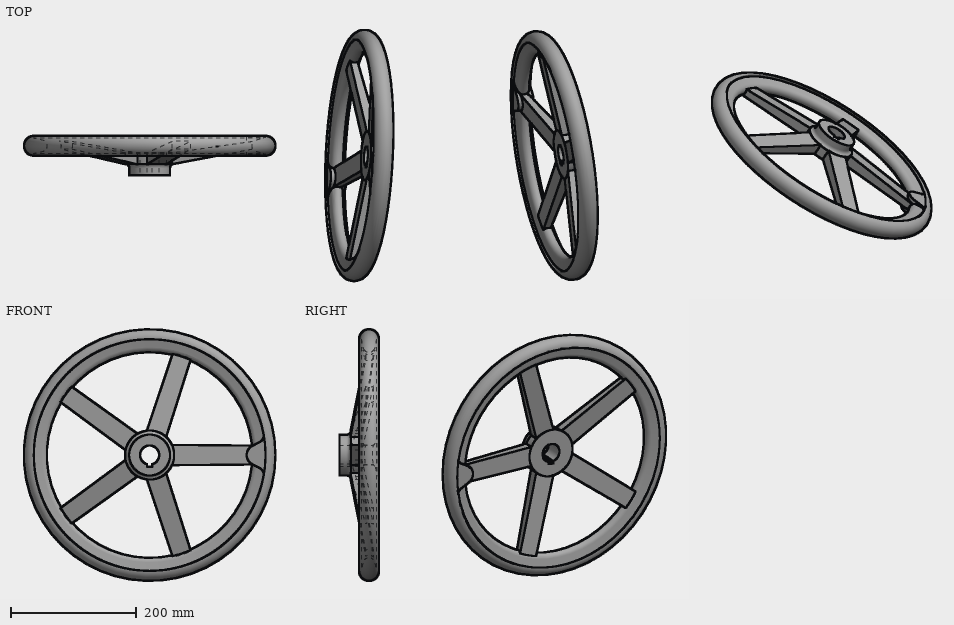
import math

import cadquery as cq


RIM_OUTER_RADIUS = 200.0
RIM_BEAD_RADIUS = 16.0
RIM_BEAD_CENTRE_RADIUS = RIM_OUTER_RADIUS - RIM_BEAD_RADIUS
RIM_WALL_RADIUS = RIM_BEAD_CENTRE_RADIUS
RIM_LIP_RADIUS = 0.5
RIM_INNER_RADIUS = 163.0
RIM_EDGE_RADIUS = 9.5
RIM_WEB_SLOPE = math.radians(12.0)

WHEEL_DEPTH = 63.0
HUB_FRONT_Y = RIM_BEAD_RADIUS - WHEEL_DEPTH
HUB_NOSE_RADIUS = 32.5
HUB_NOSE_LENGTH = 11.7
HUB_FILLET = 6.5
HUB_BODY_RADIUS = HUB_NOSE_RADIUS + HUB_FILLET
HUB_SHOULDER_Y = HUB_FRONT_Y + HUB_NOSE_LENGTH + HUB_FILLET
HUB_BODY_LENGTH = 18.0
HUB_BACK_Y = HUB_SHOULDER_Y + HUB_BODY_LENGTH

BORE_RADIUS = 15.0
KEYWAY_WIDTH = 8.0
KEYWAY_DEPTH = 3.3

SPOKE_COUNT = 5
SPOKE_ROOT_WIDTH = 32.5
SPOKE_TIP_WIDTH = 30.5
SPOKE_TIP_THICKNESS = 12.0
SPOKE_TIP_RADIUS = RIM_INNER_RADIUS + RIM_EDGE_RADIUS / 2
SPOKE_FRONT_TIP_Y = -4.5
SPOKE_BURIED_RADIUS = 20.0

BOSS_CENTRE_RADIUS = 170.5
BOSS_RADIUS = 16.5
BOSS_FLANK_ANGLE = math.radians(27.0)
BOSS_BLEND_RADIUS = 12.0
BOSS_HALF_HEIGHT = 13.0


def disc(radius, back_y, front_y):
    """Cylinder about the wheel axis, from back_y forward to front_y."""
    return cq.Workplane("XZ", origin=(0, back_y, 0)).circle(radius).extrude(back_y - front_y)


def make_rim():
    edge_centre = RIM_INNER_RADIUS + RIM_EDGE_RADIUS
    web_r = edge_centre - RIM_EDGE_RADIUS * math.sin(RIM_WEB_SLOPE)
    web_y = RIM_EDGE_RADIUS * math.cos(RIM_WEB_SLOPE)
    wall_y = web_y + (RIM_WALL_RADIUS - web_r) * math.tan(RIM_WEB_SLOPE)
    lip_centre_r = RIM_WALL_RADIUS + RIM_LIP_RADIUS
    lip_from_bead = RIM_BEAD_RADIUS - RIM_LIP_RADIUS
    lip_y = math.sqrt(lip_from_bead**2 - RIM_LIP_RADIUS**2)
    lip_end_angle = math.acos(RIM_LIP_RADIUS / lip_from_bead)
    lip_middle_angle = (lip_end_angle + math.pi) / 2
    lip_end_r = RIM_BEAD_CENTRE_RADIUS + RIM_BEAD_RADIUS * math.cos(lip_end_angle)
    lip_end_y = RIM_BEAD_RADIUS * math.sin(lip_end_angle)
    lip_middle_r = lip_centre_r + RIM_LIP_RADIUS * math.cos(lip_middle_angle)
    lip_middle_y = lip_y + RIM_LIP_RADIUS * math.sin(lip_middle_angle)
    return (
        cq.Workplane("XY")
        .moveTo(lip_end_r, -lip_end_y)
        .threePointArc((RIM_OUTER_RADIUS, 0), (lip_end_r, lip_end_y))
        .threePointArc((lip_middle_r, lip_middle_y), (RIM_WALL_RADIUS, lip_y))
        .lineTo(RIM_WALL_RADIUS, wall_y)
        .lineTo(web_r, web_y)
        .threePointArc((RIM_INNER_RADIUS, 0), (web_r, -web_y))
        .lineTo(RIM_WALL_RADIUS, -wall_y)
        .lineTo(RIM_WALL_RADIUS, -lip_y)
        .threePointArc((lip_middle_r, -lip_middle_y), (lip_end_r, -lip_end_y))
        .close()
        .revolve(360, (0, 0, 0), (0, 1, 0))
    )


def make_hub():
    nose_end_y = HUB_FRONT_Y + HUB_NOSE_LENGTH
    fillet_reach = HUB_FILLET * math.sqrt(0.5)
    fillet_middle = (HUB_BODY_RADIUS - fillet_reach, nose_end_y + fillet_reach)
    return (
        cq.Workplane("XY")
        .moveTo(0, HUB_FRONT_Y)
        .lineTo(HUB_NOSE_RADIUS, HUB_FRONT_Y)
        .lineTo(HUB_NOSE_RADIUS, nose_end_y)
        .threePointArc(fillet_middle, (HUB_BODY_RADIUS, HUB_SHOULDER_Y))
        .lineTo(HUB_BODY_RADIUS, HUB_BACK_Y)
        .lineTo(0, HUB_BACK_Y)
        .close()
        .revolve(360, (0, 0, 0), (0, 1, 0))
    )


def make_spoke():
    """Spoke along +X, tapering in width and in thickness from the hub to the rim."""

    def toward_root(root, tip):
        """Value at the buried inner end of a straight taper given at the hub and at the tip."""
        slope = (tip - root) / (SPOKE_TIP_RADIUS - HUB_BODY_RADIUS)
        return root - slope * (HUB_BODY_RADIUS - SPOKE_BURIED_RADIUS)

    def section(radius, width, front_y, back_y):
        middle_y = (front_y + back_y) / 2
        return cq.Workplane("YZ", origin=(radius, middle_y, 0)).rect(back_y - front_y, width)

    tip_back_y = SPOKE_FRONT_TIP_Y + SPOKE_TIP_THICKNESS
    root_width = toward_root(SPOKE_ROOT_WIDTH, SPOKE_TIP_WIDTH)
    root_front_y = toward_root(HUB_SHOULDER_Y, SPOKE_FRONT_TIP_Y)
    root_back_y = toward_root(HUB_BACK_Y, tip_back_y)
    root = section(SPOKE_BURIED_RADIUS, root_width, root_front_y, root_back_y)
    tip = section(SPOKE_TIP_RADIUS, SPOKE_TIP_WIDTH, SPOKE_FRONT_TIP_Y, tip_back_y)
    spoke = cq.Workplane(cq.Solid.makeLoft([root.wires().val(), tip.wires().val()], True))
    return spoke.cut(disc(HUB_BODY_RADIUS, RIM_BEAD_RADIUS, HUB_FRONT_Y))


def make_boss():
    """Round boss whose straight flanks spread outward and blend into the inner wall of the rim."""
    flank = BOSS_FLANK_ANGLE
    normal = flank + math.pi / 2
    blend_offset = BOSS_RADIUS + BOSS_BLEND_RADIUS - BOSS_CENTRE_RADIUS * math.sin(flank)
    blend_from_axis = RIM_WALL_RADIUS - BOSS_BLEND_RADIUS
    to_wall = flank + math.asin(blend_offset / blend_from_axis)
    to_flank = normal - math.pi
    blend_x = blend_from_axis * math.cos(to_wall)
    blend_z = blend_from_axis * math.sin(to_wall)

    def on_blend(angle):
        x = blend_x + BOSS_BLEND_RADIUS * math.cos(angle)
        z = blend_z + BOSS_BLEND_RADIUS * math.sin(angle)
        return x, z

    def mirrored(point):
        return point[0], -point[1]

    wall_point = on_blend(to_wall)
    blend_middle = on_blend((to_wall + to_flank) / 2)
    flank_end = on_blend(to_flank)
    flank_start = (
        BOSS_CENTRE_RADIUS + BOSS_RADIUS * math.cos(normal),
        BOSS_RADIUS * math.sin(normal),
    )
    return (
        cq.Workplane("XZ")
        .moveTo(*mirrored(wall_point))
        .threePointArc((RIM_WALL_RADIUS, 0), wall_point)
        .threePointArc(blend_middle, flank_end)
        .lineTo(*flank_start)
        .threePointArc((BOSS_CENTRE_RADIUS - BOSS_RADIUS, 0), mirrored(flank_start))
        .lineTo(*mirrored(flank_end))
        .threePointArc(mirrored(blend_middle), mirrored(wall_point))
        .close()
        .extrude(BOSS_HALF_HEIGHT, both=True)
    )


def make_bore():
    """Through bore with a keyway on the -Z side."""
    keyway_reach = BORE_RADIUS + KEYWAY_DEPTH
    keyway = (
        cq.Workplane("XZ", origin=(0, HUB_BACK_Y, 0))
        .center(0, -keyway_reach / 2)
        .rect(KEYWAY_WIDTH, keyway_reach)
        .extrude(HUB_BACK_Y - HUB_FRONT_Y)
    )
    return disc(BORE_RADIUS, HUB_BACK_Y, HUB_FRONT_Y).union(keyway)


wheel = make_rim().union(make_hub()).union(make_boss())
spoke = make_spoke()
for index in range(SPOKE_COUNT):
    wheel = wheel.union(spoke.rotate((0, 0, 0), (0, 1, 0), index * 360 / SPOKE_COUNT))

result = wheel.cut(make_bore())